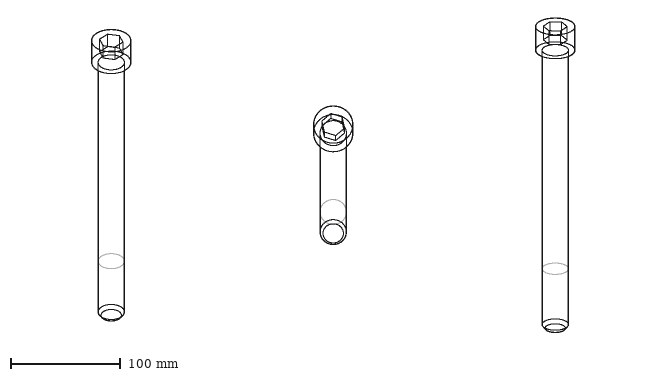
import cadquery as cq
import math

total_length = 304.0
head_diameter = 36.0
head_height = 24.0
shank_diameter = 24.0
thread_length = 60.0
tip_chamfer_height = 3.5
tip_chamfer_depth = 2.7
socket_across_flats = 19.0
socket_depth = 13.7

shank_length = total_length - head_height
shank_radius = shank_diameter / 2


def make_threaded_end():
    """Plain cylinder for the thread, with a conical tip at the bottom."""
    tip_radius = shank_radius - tip_chamfer_depth
    profile = [
        (0, 0),
        (tip_radius, 0),
        (shank_radius, tip_chamfer_height),
        (shank_radius, thread_length),
        (0, thread_length),
    ]
    return cq.Workplane("XZ").polyline(profile).close().revolve(360, (0, 0), (0, 1))


def make_plain_shank():
    plain_length = shank_length - thread_length
    return cq.Workplane("XY").workplane(offset=thread_length).circle(shank_radius).extrude(plain_length)


def make_head():
    return cq.Workplane("XY").workplane(offset=shank_length).circle(head_diameter / 2).extrude(head_height)


def make_socket():
    """Hexagonal key socket with two corners on the X axis."""
    across_corners = socket_across_flats / math.cos(math.pi / 6)
    top_plane = cq.Workplane("XY").workplane(offset=total_length)
    return top_plane.polygon(6, across_corners).extrude(-socket_depth)


shaft = make_threaded_end().union(make_plain_shank(), clean=False)
screw = shaft.union(make_head(), clean=False)
result = screw.cut(make_socket(), clean=False)